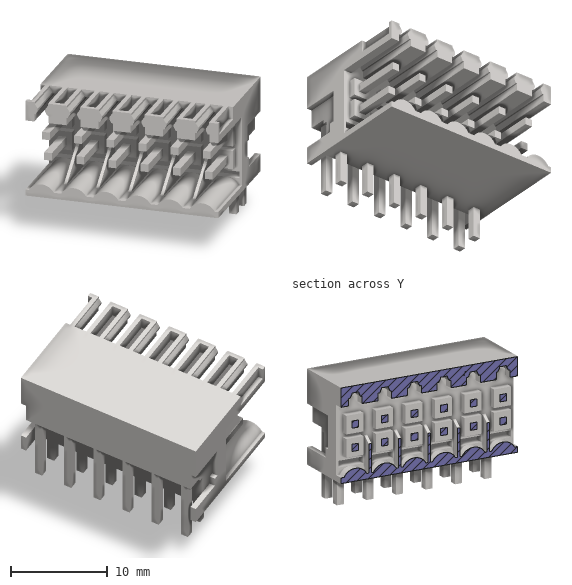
import cadquery as cq


poles = 6
width = 21.0
pitch = width / poles
depth = 14.2
height = 10.5
wall_front = 8.0
floor_top = 0.67
roof_bottom = 8.34
pole_xs = [(i - (poles - 1) / 2) * pitch for i in range(poles)]
divider_xs = [(i - poles / 2) * pitch for i in range(1, poles)]
edge_xs = [-width / 2, width / 2]

cheek = 0.63
cheek_top = 1.93
recess_top = 6.68
recess_front = 9.76
ledge_top = 2.98
ledge_back = 10.3
opening_top = 4.55
opening_front = 12.25
notch_top = 4.12
notch_front = 11.72

pin = 0.85
collar = 2.04
collar_length = 0.85
solder_length = 3.5
upper_z = 6.25
lower_z = 3.72
upper_tip = 1.51
lower_tip = 2.23
upper_tail_y = 13.12
lower_tail_y = 10.65

slot_length = 5.0
slot_split_drop = 0.82
slot_mouth_half = 0.71
slot_neck_half = 0.4
slot_flare_half = 0.6
slot_base_half = 0.78
mouth_drop = 0.23
neck_start_drop = 0.7
neck_end_drop = 0.95
flare_drop = 1.35
pocket_width = 1.07
pocket_front = 0.48
pocket_drop = 1.36

ridge_chord = 2.73
ridge_top = 1.45
window_width = 2.95
window_top = 2.18
window_depth = 1.0
rib_thickness = 0.34
rib_top = 4.5
rib_reach = 5.35


def block(x0, x1, y0, y1, z0, z1):
    """Box spanning the given coordinate ranges."""
    return cq.Workplane("XY").box(x1 - x0, y1 - y0, z1 - z0, centered=False).translate((x0, y0, z0))


def centred_block(x, size_x, y0, y1, z0, z1):
    """Box centred on x in the X direction."""
    return block(x - size_x / 2, x + size_x / 2, y0, y1, z0, z1)


def side_prism(points, x, thickness):
    """Extrude a (Y, Z) outline along X, centred on x."""
    return cq.Workplane("YZ").polyline(points).close().extrude(thickness / 2, both=True).translate((x, 0, 0))


def front_prism(points, length):
    """Extrude an (X, Z) outline from the front face toward +Y."""
    return cq.Workplane("XZ").polyline(points).close().extrude(-length)


def housing():
    """C-shaped shroud with the rear underside cleared for the solder tails."""
    body = block(-width / 2, width / 2, 0, depth, 0, height)
    body = body.cut(block(-width / 2, width / 2, 0, wall_front, floor_top, roof_bottom))

    recess = [
        (depth, recess_top),
        (recess_front, recess_top),
        (recess_front, ledge_top),
        (ledge_back, ledge_top),
        (ledge_back, cheek_top),
        (depth, cheek_top),
    ]
    for x in edge_xs:
        body = body.cut(side_prism(recess, x, 2 * cheek))

    opening = [
        (depth, opening_top),
        (opening_front, opening_top),
        (opening_front, notch_top),
        (notch_front, notch_top),
        (notch_front, 0),
        (depth, 0),
    ]
    return body.cut(side_prism(opening, 0, width - 2 * cheek))


def coding_slot():
    """Waisted slot through the roof; its lower part reaches back to the wall."""
    half_outline = [
        (slot_mouth_half, height),
        (slot_mouth_half, height - mouth_drop),
        (slot_neck_half, height - neck_start_drop),
        (slot_neck_half, height - neck_end_drop),
        (slot_flare_half, height - flare_drop),
        (slot_base_half, height - flare_drop),
        (slot_base_half, roof_bottom),
    ]
    outline = half_outline + [(-x, z) for x, z in reversed(half_outline)]
    lower_zone = centred_block(0, pitch, 0, wall_front, roof_bottom, height - slot_split_drop)
    lower_part = front_prism(outline, wall_front).intersect(lower_zone)
    return front_prism(outline, slot_length).union(lower_part)


def roof_pocket(x):
    """Blind pocket in the roof, centred on x."""
    return centred_block(x, pocket_width, pocket_front, slot_length, height - pocket_drop, height)


def ridge(x):
    """Rounded ridge along the floor, up to the wall."""
    half = ridge_chord / 2
    profile = (
        cq.Workplane("XZ")
        .moveTo(-half, 0)
        .lineTo(-half, floor_top)
        .threePointArc((0, ridge_top), (half, floor_top))
        .lineTo(half, 0)
        .close()
    )
    return profile.extrude(-wall_front).translate((x, 0, 0))


def wall_window(x):
    """Blind recess in the wall above a ridge."""
    return centred_block(x, window_width, wall_front, wall_front + window_depth, ridge_top, window_top)


def rib(x):
    """Triangular gusset between floor and wall."""
    outline = [
        (wall_front, floor_top),
        (wall_front, rib_top),
        (wall_front - rib_reach, floor_top),
    ]
    return side_prism(outline, x, rib_thickness)


def contact(x, z, tip_y, tail_y):
    """Right-angle square pin with a collar on the wall."""
    half = pin / 2
    contact_arm = centred_block(x, pin, tip_y, tail_y + half, z - half, z + half)
    tail = centred_block(x, pin, tail_y - half, tail_y + half, -solder_length, z + half)
    collar_block = centred_block(
        x, collar, wall_front - collar_length, wall_front, z - collar / 2, z + collar / 2
    )
    return contact_arm.union(tail).union(collar_block)


result = housing()

slot = coding_slot()
for x in pole_xs:
    result = result.cut(slot.translate((x, 0, 0)))
    result = result.cut(wall_window(x))

for x in divider_xs + edge_xs:
    result = result.cut(roof_pocket(x))

for x in divider_xs:
    result = result.union(rib(x))

for x in pole_xs:
    result = result.union(ridge(x))
    result = result.union(contact(x, upper_z, upper_tip, upper_tail_y))
    result = result.union(contact(x, lower_z, lower_tip, lower_tail_y))